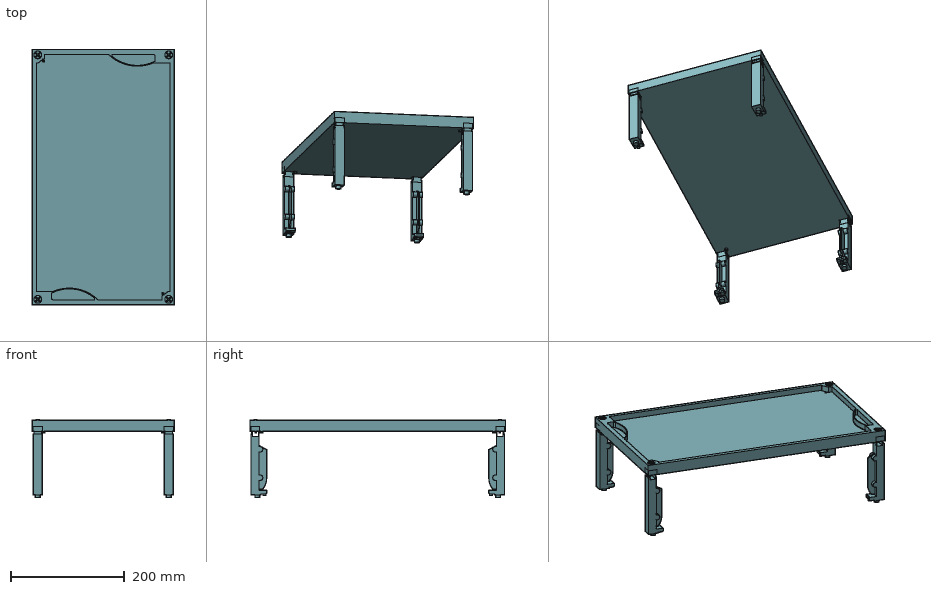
import cadquery as cq
import math


tray_x = 250.0
tray_y = 450.0
tray_height = 20.0
recess_depth = 10.0
side_rim = 7.5
end_rim = 9.0
deep_rim = 24.0
corner_step_x = 21.5
corner_step_y = 16.0
corner_ledge_x = 10.5

grip_x = 60.0
grip_radius = 72.0
grip_reach = 29.5
grip_wall = 1.5
slot_start_x = 15.5
slot_end_x = 91.5
slot_fillet = 3.5

boss_inset = 20.2
boss_radius = 2.5
boss_height = 2.5
boss_hole_radius = 1.5

leg_inset = 1.5
leg_width_x = 16.5
leg_width_y = 15.0
leg_bottom = -131.5
shoulder_drop = 5.0
neck_step = 1.5
socket_depth = 9.0
socket_length_y = 15.8
window_inset = 5.0
window_length = 10.0
window_bottom = -28.5
window_rise = 2.2

lobe_radius = 5.0
lobe_offset = 1.5
lobe_levels = (-51.5, -101.2)

fin_thickness = 2.2
fin_tip_inset = 29.5
fin_top = -44.5
fin_shoulder = -51.8
fin_curve_start = -102.0
fin_bottom = -121.5
fin_bottom_inset = 22.5

hook_top = -123.5
hook_bottom = -130.0
hook_root_inset = 20.0
hook_chamfer = 2.0
hook_lip_chamfer = 1.0
stub_radius = 2.5
stub_inset = 25.5
stub_bottom = -132.8

foot_inset_y = 13.0
foot_radius = 4.5
foot_bottom = -136.5

screw_inset = 10.0
head_radius = 6.8
head_height = 1.0
sink_depth = 3.5
shank_radius = 1.5
shank_drop = 3.0
cross_length = 11.5
cross_width = 2.0
cross_depth = 1.5

half_x = tray_x / 2
half_y = tray_y / 2
tray_bottom = -tray_height
recess_floor = -recess_depth
leg_inner = leg_inset + leg_width_y
leg_mid_x = leg_inset + leg_width_x / 2
neck_inset = leg_inset + neck_step
neck_width_x = leg_width_x - 2 * neck_step
shoulder_level = tray_bottom - shoulder_drop
socket_roof = tray_bottom + socket_depth
corner_signs = [(sx, sy) for sx in (-1, 1) for sy in (-1, 1)]
boss_corners = [(-1, 1), (1, -1)]


def box(x0, x1, y0, y1, z0, z1):
    """Axis-aligned box between two opposite corners."""
    return cq.Workplane("XY").box(x1 - x0, y1 - y0, z1 - z0, centered=False).translate((x0, y0, z0))


def rod(x, y, radius, z0, z1):
    """Upright cylinder between two levels."""
    return cq.Workplane("XY", origin=(x, y, z0)).circle(radius).extrude(z1 - z0)


def from_corner(body, signs):
    """Move a body modelled from a corner at (0, 0), growing to +X +Y, to a corner of the tray."""
    sx, sy = signs
    if sx > 0:
        body = body.mirror("YZ")
    if sy > 0:
        body = body.mirror("XZ")
    return body.translate((sx * half_x, sy * half_y, 0))


def no_turn(point):
    return point


def half_turn(point):
    x, y = point
    return (-x, -y)


grip_centre_y = half_y - grip_reach + grip_radius


def arc_y(x, radius):
    """Y of the inner side of a handle arc at the given X."""
    return grip_centre_y - math.sqrt(radius**2 - (x - grip_x) ** 2)


def arc_offset(y):
    """X distance from the handle centre to the outer arc at the given Y."""
    return math.sqrt(grip_radius**2 - (grip_centre_y - y) ** 2)


def make_recess():
    """Shallow floor of the tray, the same after half a turn about Z."""
    inner_x = half_x - side_rim
    rim_y = half_y - end_rim
    deep_y = half_y - deep_rim
    step_x = -half_x + corner_step_x
    arc_start = (grip_x - arc_offset(rim_y), rim_y)
    arc_low = (grip_x, half_y - grip_reach)
    arc_end = (grip_x + arc_offset(deep_y), deep_y)
    step_top = (step_x, rim_y)
    ledge_end = (-half_x + corner_ledge_x, deep_y)
    step_bottom = (step_x, half_y - corner_step_y)
    far_corner = (inner_x, deep_y)
    side_end = (-inner_x, deep_y)

    outline = cq.Workplane("XY", origin=(0, 0, recess_floor)).moveTo(*side_end)
    for turn in (no_turn, half_turn):
        outline = outline.lineTo(*turn(ledge_end)).lineTo(*turn(step_bottom)).lineTo(*turn(step_top))
        outline = outline.lineTo(*turn(arc_start))
        outline = outline.threePointArc(turn(arc_low), turn(arc_end)).lineTo(*turn(far_corner))
        if turn is no_turn:
            outline = outline.lineTo(*half_turn(side_end))
    return outline.close().extrude(recess_depth)


def make_handle_slot():
    """Pocket behind the thin curved handle wall at the +Y end."""
    radius = grip_radius - grip_wall
    top_y = half_y - end_rim
    slot = (
        cq.Workplane("XY", origin=(0, 0, recess_floor))
        .moveTo(slot_start_x, top_y)
        .lineTo(slot_start_x, arc_y(slot_start_x, radius))
        .threePointArc((grip_x, arc_y(grip_x, radius)), (slot_end_x, arc_y(slot_end_x, radius)))
        .lineTo(slot_end_x, top_y)
        .close()
        .extrude(recess_depth)
    )
    return slot.edges("|Z and >X").edges(">Y").fillet(slot_fillet)


def make_tray():
    tray = box(-half_x, half_x, -half_y, half_y, tray_bottom, 0).cut(make_recess())
    slot = make_handle_slot()
    tray = tray.cut(slot).cut(slot.rotate((0, 0, 0), (0, 0, 1), 180))

    socket = box(
        leg_inset, leg_inset + leg_width_x, leg_inset, leg_inset + socket_length_y, tray_bottom, socket_roof
    )
    screw_hole = rod(screw_inset, screw_inset, shank_radius, tray_bottom, 0)
    countersink = cq.Workplane(
        cq.Solid.makeCone(shank_radius, head_radius, sink_depth, cq.Vector(screw_inset, screw_inset, -sink_depth))
    )
    screw_hole = screw_hole.union(countersink)
    for signs in corner_signs:
        tray = tray.cut(from_corner(socket, signs)).cut(from_corner(screw_hole, signs))

    boss = rod(boss_inset, boss_inset, boss_radius, tray_bottom - boss_height, tray_bottom)
    boss_hole = rod(boss_inset, boss_inset, boss_hole_radius, tray_bottom - boss_height, recess_floor)
    for signs in boss_corners:
        tray = tray.union(from_corner(boss, signs)).cut(from_corner(boss_hole, signs))
    return tray


def make_fin():
    """Thin web on the inner side of the leg, curving back towards the leg at its foot."""
    drop = fin_curve_start - fin_bottom
    run = fin_tip_inset - fin_bottom_inset
    radius = (drop**2 + run**2) / (2 * run)
    half_angle = math.asin(drop / radius) / 2
    arc_mid = (
        fin_tip_inset - radius * (1 - math.cos(half_angle)),
        fin_curve_start - radius * math.sin(half_angle),
    )
    return (
        cq.Workplane("YZ", origin=(leg_mid_x - fin_thickness / 2, 0, 0))
        .moveTo(leg_inner, fin_bottom)
        .lineTo(leg_inner, fin_top)
        .lineTo(fin_tip_inset, fin_shoulder)
        .lineTo(fin_tip_inset, fin_curve_start)
        .threePointArc(arc_mid, (fin_bottom_inset, fin_bottom))
        .close()
        .extrude(fin_thickness)
    )


def make_leg():
    """One leg, with its neck, lobes, fin, hook and foot, modelled from a corner at (0, 0)."""
    body = (
        cq.Workplane("YZ", origin=(leg_inset, 0, 0))
        .moveTo(leg_inset, shoulder_level)
        .lineTo(leg_inset, leg_bottom)
        .lineTo(hook_root_inset, leg_bottom)
        .lineTo(hook_root_inset, hook_bottom)
        .lineTo(fin_tip_inset - hook_chamfer, hook_bottom)
        .lineTo(fin_tip_inset, hook_bottom + hook_chamfer)
        .lineTo(fin_tip_inset, hook_top - hook_lip_chamfer)
        .lineTo(fin_tip_inset - hook_lip_chamfer, hook_top)
        .lineTo(leg_inner, hook_top)
        .lineTo(leg_inner, shoulder_level)
        .close()
        .extrude(leg_width_x)
    )
    neck = box(neck_inset, neck_inset + neck_width_x, neck_inset, leg_inner, shoulder_level, socket_roof)
    leg = body.union(neck)
    for level in lobe_levels:
        lobe = (
            cq.Workplane("YZ", origin=(leg_inset, leg_inner + lobe_offset, level))
            .circle(lobe_radius)
            .extrude(leg_width_x)
        )
        leg = leg.union(lobe)
    leg = leg.union(make_fin())
    leg = leg.union(rod(leg_mid_x, stub_inset, stub_radius, stub_bottom, hook_bottom))
    leg = leg.union(rod(leg_mid_x, foot_inset_y, foot_radius, foot_bottom, leg_bottom))

    window = box(
        0,
        leg_inset + leg_width_x,
        window_inset,
        window_inset + window_length,
        window_bottom,
        tray_bottom + window_rise,
    )
    screw_hole = rod(screw_inset, screw_inset, shank_radius, tray_bottom, socket_roof)
    return leg.cut(window).cut(screw_hole)


def make_screw():
    """Low domed screw with a cross recess, modelled from a corner at (0, 0)."""
    shank_tip = tray_bottom - shank_drop
    profile = (
        cq.Workplane("XZ")
        .moveTo(0, shank_tip)
        .lineTo(shank_radius, shank_tip)
        .lineTo(shank_radius, -sink_depth)
        .lineTo(head_radius, 0)
    )
    dome_radius = (head_radius**2 + head_height**2) / (2 * head_height)
    mid_x = head_radius / 2
    mid_z = head_height - dome_radius + math.sqrt(dome_radius**2 - mid_x**2)
    screw = profile.threePointArc((mid_x, mid_z), (0, head_height)).close().revolve(360, (0, 0, 0), (0, 1, 0))
    for angle in (45, 135):
        arm = cq.Workplane("XY").box(cross_length, cross_width, 2 * cross_depth)
        screw = screw.cut(arm.rotate((0, 0, 0), (0, 0, 1), angle).translate((0, 0, head_height)))
    return screw.translate((screw_inset, screw_inset, 0))


tray = make_tray()
legs = [from_corner(make_leg(), signs) for signs in corner_signs]
screws = [from_corner(make_screw(), signs) for signs in corner_signs]

result = cq.Compound.makeCompound(
    [tray.val(), *[leg.val() for leg in legs], *[screw.val() for screw in screws]]
)